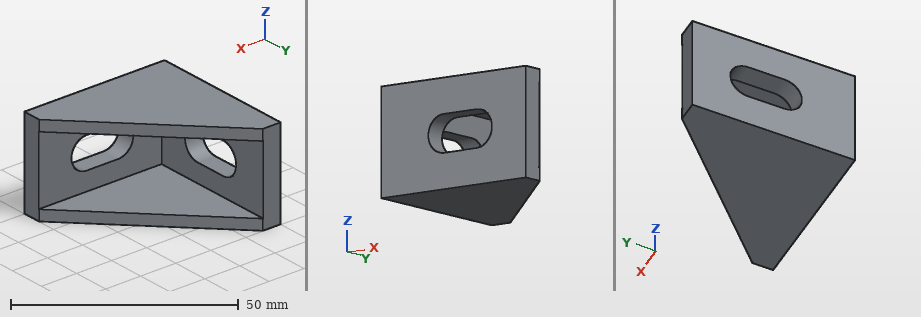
import cadquery as cq

leg_length = 40.0
height = 25.0
wall_thickness = 5.0
tip_width = 5.1
gusset_thickness = 3.0
slot_width = 8.7
slot_length = 17.6
slot_center = 21.85

mid_height = height / 2


def triangular_block():
    """Solid bracket envelope: a right triangle with squared tips."""
    return (
        cq.Workplane("XY")
        .polyline([
            (0, 0),
            (leg_length, 0),
            (leg_length, tip_width),
            (tip_width, leg_length),
            (0, leg_length),
        ])
        .close()
        .extrude(height)
    )


def cavity():
    """Space between the walls and plates, open through the sloping side."""
    return cq.Workplane("XY").box(
        leg_length,
        leg_length,
        height - 2 * gusset_thickness,
        centered=False,
    ).translate((wall_thickness, wall_thickness, gusset_thickness))


def wall_slot(plane_name, inward):
    """Bolt slot through one wall; inward is the sign of the cut along the plane normal."""
    return (
        cq.Workplane(plane_name)
        .center(slot_center, mid_height)
        .slot2D(slot_length, slot_width)
        .extrude(inward * wall_thickness)
    )


result = (
    triangular_block()
    .cut(cavity())
    .cut(wall_slot("XZ", -1))
    .cut(wall_slot("YZ", 1))
)